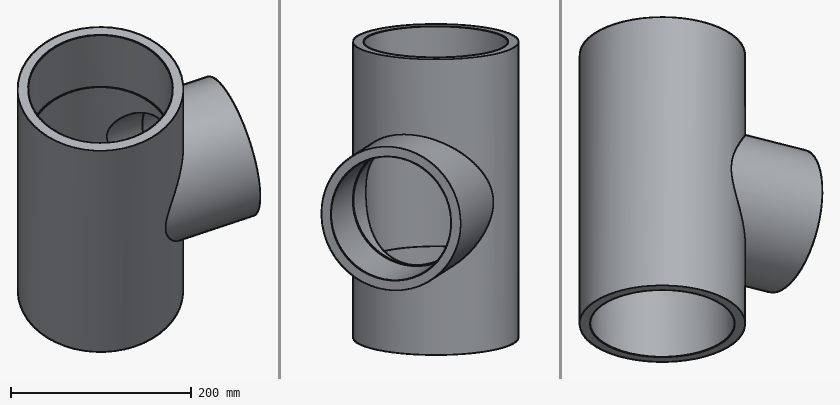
import cadquery as cq

run_outer_dia = 184.0
run_socket_dia = 160.0
run_bore_dia = 158.0
run_length = 336.0
run_socket_depth = 86.0

branch_outer_dia = 163.0
branch_socket_dia = 140.0
branch_bore_dia = 138.0
branch_reach = 158.0
branch_socket_depth = 76.0

mouth_chamfer = 0.5

UP = cq.Vector(0, 0, 1)
BRANCH_OUT = cq.Vector(0, 1, 0)


def cylinder(diameter, start, direction, length):
    return cq.Workplane(cq.Solid.makeCylinder(diameter / 2, length, start, direction))


def socket(diameter, depth, mouth_distance, outward):
    """Pipe socket sunk from a mouth at mouth_distance from the origin, with a chamfered edge."""
    mouth = outward * mouth_distance
    inward = outward * -1
    radius = diameter / 2
    lead_in = cq.Solid.makeCone(radius + mouth_chamfer, radius, mouth_chamfer, mouth, inward)
    return cylinder(diameter, mouth, inward, depth).union(cq.Workplane(lead_in))


def tee_body():
    run = cylinder(run_outer_dia, UP * (-run_length / 2), UP, run_length)
    branch = cylinder(branch_outer_dia, cq.Vector(), BRANCH_OUT, branch_reach)
    return run.union(branch)


def run_cavity():
    """Through bore with a slightly wider pipe socket at each end."""
    half_length = run_length / 2
    cavity = cylinder(run_bore_dia, UP * -half_length, UP, run_length)
    for outward in (UP, UP * -1):
        cavity = cavity.union(socket(run_socket_dia, run_socket_depth, half_length, outward))
    return cavity


def branch_cavity():
    """Bore from the main axis to the branch mouth, with a pipe socket at the mouth."""
    bore = cylinder(branch_bore_dia, cq.Vector(), BRANCH_OUT, branch_reach)
    return bore.union(socket(branch_socket_dia, branch_socket_depth, branch_reach, BRANCH_OUT))


result = tee_body().cut(run_cavity()).cut(branch_cavity())